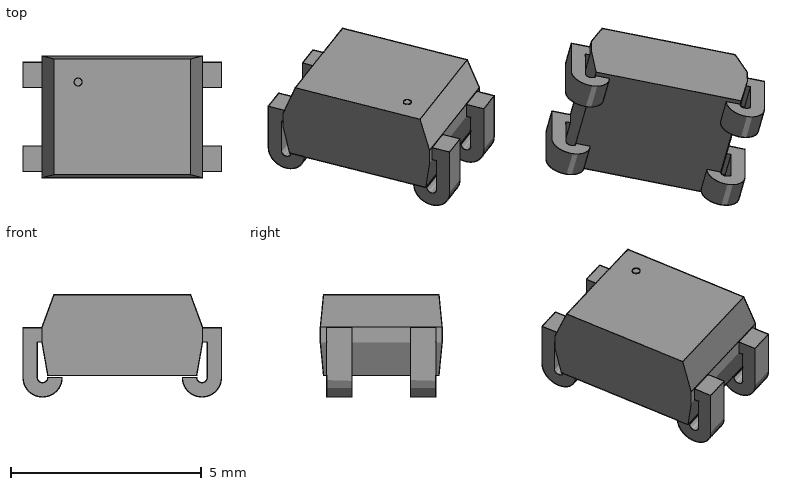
import cadquery as cq

overall_length = 5.21
overall_height = 2.69

housing_length = 4.21
housing_width = 3.2
housing_bottom = 0.565
belt_bottom = 1.42
belt_height = 0.415
belt_top = belt_bottom + belt_height
top_inset_x = 0.31
bottom_inset_x = 0.15
inset_y = 0.085

lead_width = 0.67
lead_pitch = 2.2
lead_top = 1.825
lead_thickness = 0.38
bend_outer_radius = 0.515
bend_inner_radius = bend_outer_radius - lead_thickness
bend_center_z = bend_outer_radius

dot_diameter = 0.21
dot_depth = 0.025
dot_x = -1.155
dot_y = 0.91


def tapered_block(start_z, end_z, inset_x):
    """Block that shrinks from the belt outline at start_z to an inset outline at end_z."""
    return (
        cq.Workplane("XY", origin=(0, 0, start_z))
        .rect(housing_length, housing_width)
        .workplane(offset=end_z - start_z)
        .rect(housing_length - 2 * inset_x, housing_width - 2 * inset_y)
        .loft(ruled=True)
    )


def make_marker_dot():
    """Thin disc whose upper face is level with the top of the housing."""
    return (
        cq.Workplane("XY", origin=(dot_x, dot_y, overall_height - dot_depth))
        .circle(dot_diameter / 2)
        .extrude(dot_depth)
    )


def make_housing(marker_dot):
    """Housing with a shallow recess that holds the marker dot."""
    belt = (
        cq.Workplane("XY", origin=(0, 0, belt_bottom))
        .rect(housing_length, housing_width)
        .extrude(belt_height)
    )
    upper = tapered_block(belt_top, overall_height, top_inset_x)
    lower = tapered_block(belt_bottom, housing_bottom, bottom_inset_x)
    return belt.union(upper).union(lower).cut(marker_dot)


def make_left_lead(center_y):
    """J lead on the -X end: a short arm, a vertical leg and a half-round bend."""
    outer_x = -overall_length / 2
    inner_x = outer_x + lead_thickness
    bend_center_x = outer_x + bend_outer_radius
    toe_inner_x = bend_center_x + bend_inner_radius
    toe_outer_x = bend_center_x + bend_outer_radius
    housing_end_x = -housing_length / 2
    arm_bottom = lead_top - lead_thickness
    return (
        cq.Workplane("XZ", origin=(0, center_y, 0))
        .moveTo(housing_end_x, lead_top)
        .lineTo(outer_x, lead_top)
        .lineTo(outer_x, bend_center_z)
        .threePointArc((bend_center_x, bend_center_z - bend_outer_radius), (toe_outer_x, bend_center_z))
        .lineTo(toe_inner_x, bend_center_z)
        .threePointArc((bend_center_x, bend_center_z - bend_inner_radius), (inner_x, bend_center_z))
        .lineTo(inner_x, arm_bottom)
        .lineTo(housing_end_x, arm_bottom)
        .close()
        .extrude(lead_width / 2, both=True)
    )


marker_dot = make_marker_dot()
housing = make_housing(marker_dot)

leads = []
for center_y in (-lead_pitch / 2, lead_pitch / 2):
    left_lead = make_left_lead(center_y)
    right_lead = left_lead.mirror("YZ")
    leads.extend([left_lead.val(), right_lead.val()])

result = cq.Compound.makeCompound([housing.val(), marker_dot.val(), *leads])